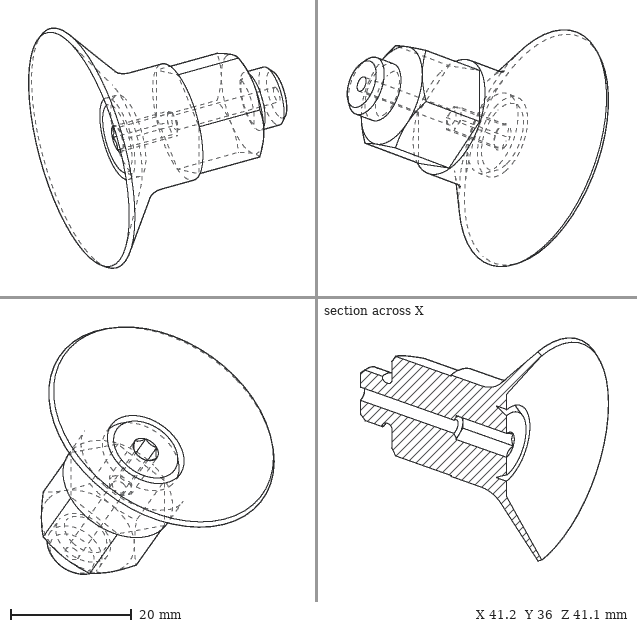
import cadquery as cq
import math


total_length = 36.0
lip_height = 0.8
shoulder = 9.7
collar_end = 18.0
hex_end = 29.8

lip_radius = 41.15 / 2
mouth_radius = 20.05
collar_radius = 20.0 / 2
shoulder_fillet = 5.0

floor_depth = 7.0
floor_radius = 10.0
floor_fillet = 1.0

groove_outer_radius = 14.0 / 2
groove_inner_radius = 5.85
groove_bevel_angle = math.radians(60)
groove_depth = (groove_outer_radius - groove_inner_radius) * math.tan(groove_bevel_angle)

hex_across_flats = 17.0
hex_bevel_angle = math.radians(30)

stud_radius = 10.0 / 2
stud_chamfer = 0.95
neck_radius = 8.0 / 2
neck_fillet = 0.8
undercut_length = 1.8
stud_start = hex_end + undercut_length

bore_radius = 2.5 / 2
socket_across_flats = 4.0
socket_depth = 10.0
socket_bevel_angle = math.radians(45)
drill_point_half_angle = math.radians(59)


def revolve_about_y(profile):
    """Turn a closed (radius, Y) profile once around the Y axis."""
    return profile.close().revolve(360, (0, 0, 0), (0, 1, 0))


def hex_prism(across_flats, start, end):
    """Hexagonal prism along Y with two of its corners on the Z axis."""
    return (
        cq.Workplane("XZ", origin=(0, start, 0))
        .polygon(6, across_flats * 2 / math.sqrt(3))
        .extrude(start - end)
        .rotate((0, 0, 0), (0, 1, 0), 90)
    )


def make_cup():
    """Flared cup with a concave flank running into a cylindrical collar."""
    inner_angle = math.atan2(floor_depth, mouth_radius - floor_radius)
    inner_tangent = floor_fillet * math.tan(inner_angle / 2)
    inner_fillet_end = (
        floor_radius + inner_tangent * math.cos(inner_angle),
        floor_depth - inner_tangent * math.sin(inner_angle),
    )
    flank_angle = math.atan2(lip_radius - collar_radius, shoulder - lip_height)
    flank_tangent = shoulder_fillet * math.tan(flank_angle / 2)
    flank_end = (
        collar_radius + flank_tangent * math.sin(flank_angle),
        shoulder - flank_tangent * math.cos(flank_angle),
    )
    profile = (
        cq.Workplane("XY")
        .moveTo(0, floor_depth)
        .lineTo(floor_radius - inner_tangent, floor_depth)
        .tangentArcPoint(inner_fillet_end, relative=False)
        .lineTo(mouth_radius, 0)
        .lineTo(lip_radius, lip_height)
        .lineTo(*flank_end)
        .tangentArcPoint((collar_radius, shoulder + flank_tangent), relative=False)
        .lineTo(collar_radius, collar_end)
        .lineTo(0, collar_end)
    )
    return revolve_about_y(profile)


def make_groove():
    """V groove with a straight outer wall and a bevelled inner wall."""
    profile = (
        cq.Workplane("XY")
        .moveTo(groove_inner_radius, floor_depth)
        .lineTo(groove_outer_radius, floor_depth)
        .lineTo(groove_outer_radius, floor_depth + groove_depth)
    )
    return revolve_about_y(profile)


def make_hex():
    """Hexagonal nut with a bevelled outer end."""
    corner_radius = hex_across_flats / math.sqrt(3)
    bevel_radius = hex_across_flats / 2
    bevel_drop = (corner_radius - bevel_radius) * math.tan(hex_bevel_angle)
    prism = hex_prism(hex_across_flats, collar_end, hex_end)
    envelope = revolve_about_y(
        cq.Workplane("XY")
        .moveTo(0, collar_end)
        .lineTo(corner_radius, collar_end)
        .lineTo(corner_radius, hex_end - bevel_drop)
        .lineTo(bevel_radius, hex_end)
        .lineTo(0, hex_end)
    )
    return prism.intersect(envelope)


def make_stud():
    """Chamfered stud on a narrower neck that is filleted at both ends."""
    neck_end_radius = neck_radius + neck_fillet
    profile = (
        cq.Workplane("XY")
        .moveTo(0, hex_end)
        .lineTo(neck_end_radius, hex_end)
        .radiusArc((neck_radius, hex_end + neck_fillet), neck_fillet)
        .lineTo(neck_radius, stud_start - neck_fillet)
        .radiusArc((neck_end_radius, stud_start), neck_fillet)
        .lineTo(stud_radius, stud_start)
        .lineTo(stud_radius, total_length - stud_chamfer)
        .lineTo(stud_radius - stud_chamfer, total_length)
        .lineTo(0, total_length)
    )
    return revolve_about_y(profile)


def make_passage():
    """Through bore with a hexagon socket, a drill point behind it and a bevelled mouth."""
    bore = cq.Workplane("XZ").circle(bore_radius).extrude(-total_length)
    corner_radius = socket_across_flats / math.sqrt(3)
    flat_radius = socket_across_flats / 2
    socket_end = floor_depth + socket_depth
    point_length = (flat_radius - bore_radius) / math.tan(drill_point_half_angle)
    socket = hex_prism(socket_across_flats, floor_depth, socket_end)
    drill_point = revolve_about_y(
        cq.Workplane("XY")
        .moveTo(0, socket_end)
        .lineTo(flat_radius, socket_end)
        .lineTo(bore_radius, socket_end + point_length)
        .lineTo(0, socket_end + point_length)
    )
    mouth_bevel = revolve_about_y(
        cq.Workplane("XY")
        .moveTo(0, floor_depth)
        .lineTo(corner_radius, floor_depth)
        .lineTo(0, floor_depth + corner_radius * math.tan(socket_bevel_angle))
    )
    return bore.union(socket).union(drill_point).union(mouth_bevel)


body = make_cup().union(make_hex()).union(make_stud())
result = body.cut(make_groove()).cut(make_passage())